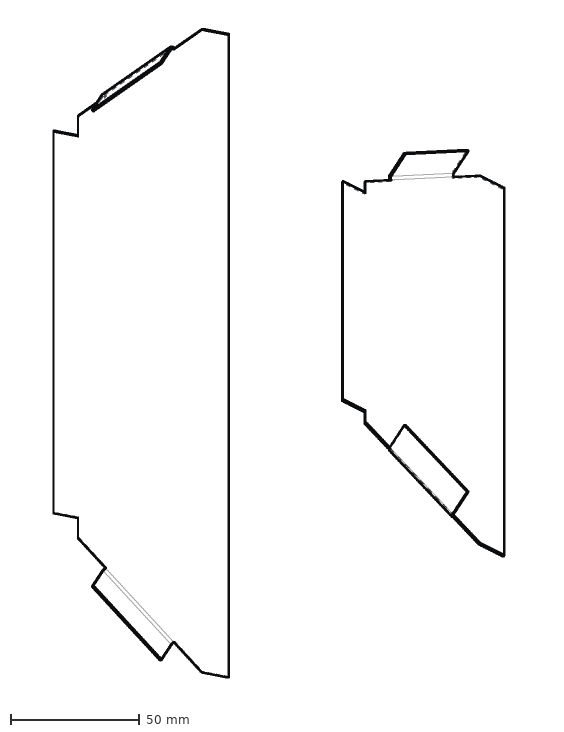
import cadquery as cq
import math

height = 298.0
width = 72.5
thickness = 0.8
notch_width = 10.0
left_edge_height = 177.0
end_width = 11.0

flange_length = 40.0
flange_depth = 13.0
bend_inner_radius = 0.98
bend_outer_radius = bend_inner_radius + thickness

half_height = height / 2
slope_end_x = width - end_width
slope_run = slope_end_x - notch_width
slope_start_z = half_height - slope_run
slope_mid_x = notch_width + slope_run / 2
slope_mid_z = slope_start_z + slope_run / 2


def make_plate():
    """Flat sheet with its back face on Y = 0 and its front face toward -Y."""
    half_left = left_edge_height / 2
    upper = [
        (0, half_left),
        (notch_width, half_left),
        (notch_width, slope_start_z),
        (slope_end_x, half_height),
        (width, half_height),
    ]
    lower = [(x, -z) for x, z in reversed(upper)]
    return cq.Workplane("XZ").polyline(upper + lower).close().extrude(thickness)


def make_upper_flange():
    """Rounded bend and straight leg, swept along the upper sloping edge."""
    diagonal = math.sqrt(0.5)
    outward = (-diagonal, 0, diagonal)
    edge_direction = (-diagonal, 0, -diagonal)
    profile_plane = cq.Plane((slope_mid_x, 0, slope_mid_z), outward, edge_direction)
    outer_mid = bend_outer_radius * diagonal
    inner_mid = bend_inner_radius * diagonal
    return (
        cq.Workplane(profile_plane)
        .moveTo(0, 0)
        .threePointArc((outer_mid, outer_mid - bend_outer_radius), (bend_outer_radius, -bend_outer_radius))
        .lineTo(bend_outer_radius, -flange_depth)
        .lineTo(bend_inner_radius, -flange_depth)
        .lineTo(bend_inner_radius, -bend_outer_radius)
        .threePointArc((inner_mid, inner_mid - bend_outer_radius), (0, -thickness))
        .close()
        .extrude(flange_length / 2, both=True)
    )


upper_flange = make_upper_flange()
lower_flange = upper_flange.mirror("XY")
result = make_plate().union(upper_flange).union(lower_flange)